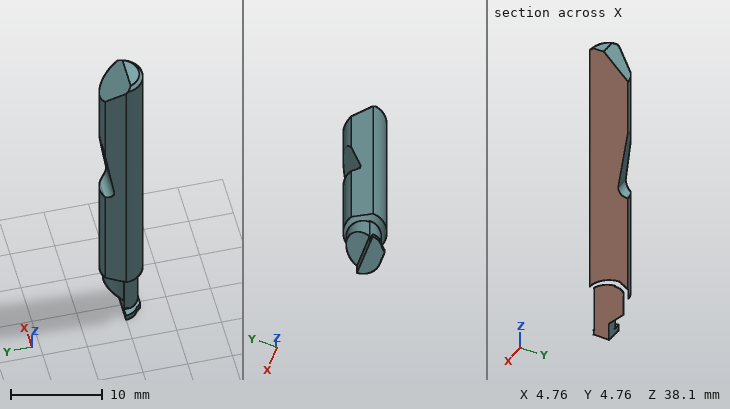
import cadquery as cq
import math

TOTAL_LENGTH = 38.1
NECK_LENGTH = 6.35
SHANK_RADIUS = 4.7625 / 2
NECK_RADIUS = 1.93
NECK_X = SHANK_RADIUS - NECK_RADIUS

END_CHAMFER = 0.4
SLANT_START_Y = -0.63

FLAT_SPAN = 60
FLAT_DIRECTION = 150
FLAT_DISTANCE = SHANK_RADIUS * math.cos(math.radians(FLAT_SPAN / 2))

NOTCH_TOP_Z = 28.4
NOTCH_BOTTOM_Z = 19.65
NOTCH_FLOOR_Y = 1.0
NOTCH_CORNER_RADIUS = 1.0

BACK_RADIUS = 1.87
RELIEF_BOTTOM_Z = 2.2

HEAD_TOP_Z = 0.73
TIP_X = -2.27
FLANK_END = (-1.45, -1.39)
FLANK_MIDDLE = (-2.08, -0.75)
FACE_START_X = -0.98
CLEARANCE_ANGLE = 2

UNDERCUT_TOP_Z = 1.05
UNDERCUT_DEPTH = 0.13

CLEAR = 10.0


def side_prism(points):
    """Prism across the whole part in X, from an outline of (y, z) points."""
    return cq.Workplane("YZ").polyline(points).close().extrude(CLEAR, both=True)


def make_shank():
    shank = (
        cq.Workplane("XY", origin=(0, 0, NECK_LENGTH))
        .circle(SHANK_RADIUS)
        .extrude(TOTAL_LENGTH - NECK_LENGTH)
        .faces(">Z")
        .chamfer(END_CHAMFER)
    )
    flat = (
        cq.Workplane("XY")
        .center(FLAT_DISTANCE + CLEAR / 2, 0)
        .rect(CLEAR, CLEAR)
        .extrude(TOTAL_LENGTH)
        .rotate((0, 0, 0), (0, 0, 1), FLAT_DIRECTION)
    )
    slant = side_prism([
        (SLANT_START_Y, TOTAL_LENGTH),
        (SLANT_START_Y + CLEAR, TOTAL_LENGTH),
        (SLANT_START_Y + CLEAR, TOTAL_LENGTH - CLEAR),
    ])
    return shank.cut(flat).cut(slant).cut(make_notch())


def make_notch():
    """Cutter for the notch: a sloping floor, a rounded corner and a square lower wall."""
    notch = side_prism([
        (SHANK_RADIUS, NOTCH_TOP_Z),
        (NOTCH_FLOOR_Y, NOTCH_BOTTOM_Z),
        (SHANK_RADIUS, NOTCH_BOTTOM_Z),
    ])
    return notch.edges("|X").edges("<Y").fillet(NOTCH_CORNER_RADIUS)


def make_neck():
    front_half = half_cylinder(NECK_RADIUS, -1)
    back_half = half_cylinder(BACK_RADIUS, 1)
    relief = side_prism([
        (0, 0),
        (0, RELIEF_BOTTOM_Z),
        (CLEAR, RELIEF_BOTTOM_Z + CLEAR),
        (CLEAR, 0),
    ])
    neck_left = NECK_X - NECK_RADIUS
    undercut = (
        cq.Workplane("XZ")
        .polyline([
            (neck_left, UNDERCUT_TOP_Z),
            (neck_left + UNDERCUT_DEPTH, HEAD_TOP_Z),
            (neck_left, HEAD_TOP_Z),
        ])
        .close()
        .extrude(CLEAR, both=True)
    )
    return front_half.union(back_half.cut(relief)).cut(undercut)


def half_cylinder(radius, side):
    """Half of the neck on the +Y (side = 1) or -Y (side = -1) side, tangent to the shank."""
    center_x = SHANK_RADIUS - radius
    return (
        cq.Workplane("XY")
        .moveTo(center_x - radius, 0)
        .threePointArc((center_x, side * radius), (SHANK_RADIUS, 0))
        .close()
        .extrude(NECK_LENGTH)
    )


def make_head():
    return (
        cq.Workplane("XY")
        .moveTo(TIP_X, 0)
        .threePointArc(FLANK_MIDDLE, FLANK_END)
        .lineTo(FACE_START_X, -NECK_RADIUS)
        .lineTo(NECK_X, -NECK_RADIUS)
        .lineTo(NECK_X, 0)
        .close()
        .extrude(HEAD_TOP_Z)
    )


def make_clearance():
    """Block under the part whose upper face rises from the tip toward +X and -Y."""
    tip = (TIP_X, 0, 0)
    return (
        cq.Workplane("XY", origin=(TIP_X, 0, -CLEAR / 2))
        .box(2 * CLEAR, 2 * CLEAR, CLEAR)
        .rotate(tip, (TIP_X, 1, 0), -CLEARANCE_ANGLE)
        .rotate(tip, (TIP_X + 1, 0, 0), -CLEARANCE_ANGLE)
    )


result = make_shank().union(make_neck()).union(make_head()).cut(make_clearance())